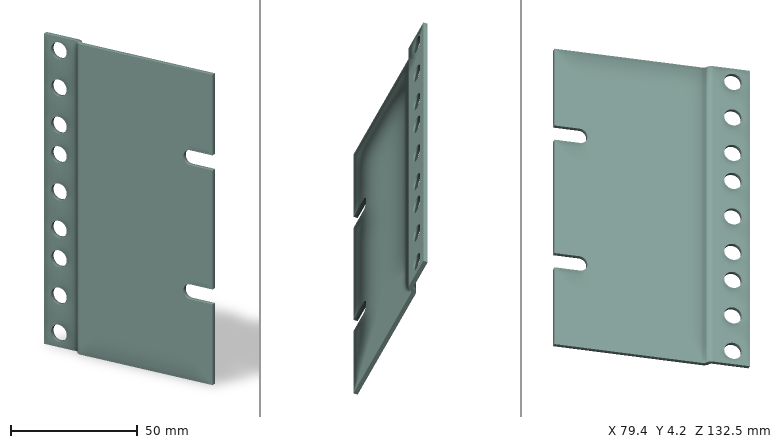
import cadquery as cq
import math

width = 79.4
height = 132.5
thickness = 1.9

flange_length = 15.0
joggle_run = 3.5
joggle_offset = 2.3

hole_diameter = 7.2
hole_x = 6.9
hole_pitch = 15.9
group_pitch = 44.4

slot_width = 6.4
slot_depth = 13.5
slot_z = 28.6


def arc_point(center, radius, degrees):
    angle = math.radians(degrees)
    return (center[0] + radius * math.cos(angle), center[1] + radius * math.sin(angle))


def make_plate():
    """Extrude the joggled sheet section, centred on Z = 0."""
    mid_radius = (joggle_run**2 + joggle_offset**2) / (4 * joggle_offset)
    inner_radius = mid_radius - thickness / 2
    outer_radius = mid_radius + thickness / 2
    bend = 2 * math.degrees(math.atan2(joggle_offset, joggle_run))

    flange_back = joggle_offset + thickness
    joggle_end = flange_length + joggle_run
    flange_center = (flange_length, flange_back - outer_radius)
    plate_center = (joggle_end, outer_radius)

    section = (
        cq.Workplane("XY")
        .workplane(offset=-height / 2)
        .moveTo(0, flange_back)
        .lineTo(flange_length, flange_back)
        .threePointArc(
            arc_point(flange_center, outer_radius, 90 - bend / 2),
            arc_point(flange_center, outer_radius, 90 - bend),
        )
        .threePointArc(
            arc_point(plate_center, inner_radius, 270 - bend / 2),
            (joggle_end, thickness),
        )
        .lineTo(width, thickness)
        .lineTo(width, 0)
        .lineTo(joggle_end, 0)
        .threePointArc(
            arc_point(plate_center, outer_radius, 270 - bend / 2),
            arc_point(plate_center, outer_radius, 270 - bend),
        )
        .threePointArc(
            arc_point(flange_center, inner_radius, 90 - bend / 2),
            (flange_length, joggle_offset),
        )
        .lineTo(0, joggle_offset)
        .close()
    )
    return section.extrude(height)


def make_holes():
    """Cylinders through the flange along Y."""
    centers = [
        (hole_x, group * group_pitch + hole * hole_pitch)
        for group in (-1, 0, 1)
        for hole in (-1, 0, 1)
    ]
    return (
        cq.Workplane("XZ")
        .pushPoints(centers)
        .circle(hole_diameter / 2)
        .extrude(-(joggle_offset + thickness))
    )


def make_slots():
    """Round-ended cutters that run past the free edge by one slot width."""
    slot_length = slot_depth + slot_width
    slot_x = width - slot_depth + slot_length / 2
    return (
        cq.Workplane("XZ")
        .pushPoints([(slot_x, -slot_z), (slot_x, slot_z)])
        .slot2D(slot_length, slot_width)
        .extrude(-thickness)
    )


result = make_plate().cut(make_holes()).cut(make_slots())